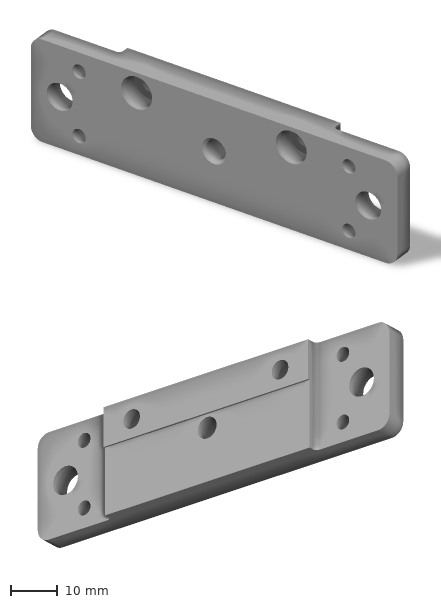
import cadquery as cq

length = 95.0
height = 25.4
plate_thickness = 4.8
corner_radius = 3.0

total_thickness = 7.5
pad_width = 55.3
pad_root_radius = 0.95
land_height = 9.4
relief_depth = 0.5

mount_diameter = 6.65
mount_offset_x = 40.0
pin_diameter = 3.4
pin_offset_x = 35.0
pin_offset_z = 8.0
screw_diameter = 4.5
screw_head_diameter = 8.0
screw_head_depth = 5.0
screw_offset_x = 20.0
screw_offset_z = 7.7
centre_diameter = 5.0
centre_mouth_diameter = 6.3

both_sides = (-1, 1)


def block(width, thickness, block_height):
    """Block centred on X and Z, growing from the front face toward +Y."""
    return cq.Workplane("XY").box(width, thickness, block_height, centered=(True, False, True))


def bore(points, diameter, depth):
    """Round cutters starting at the front face, at the given (x, z) points."""
    return cq.Workplane("XZ").pushPoints(points).circle(diameter / 2).extrude(-depth)


plate = block(length, plate_thickness, height).edges("|Y").fillet(corner_radius)
pad = block(pad_width, total_thickness, height)
body = plate.union(pad)

for side in both_sides:
    root = (side * pad_width / 2, plate_thickness, 0)
    body = body.edges(cq.selectors.NearestToPointSelector(root)).fillet(pad_root_radius)

relief_height = height - land_height
relief = block(pad_width, relief_depth, relief_height).translate(
    (0, total_thickness - relief_depth, -land_height / 2)
)
body = body.cut(relief)

mount_points = [(side * mount_offset_x, 0) for side in both_sides]
pin_points = [(sx * pin_offset_x, sz * pin_offset_z) for sx in both_sides for sz in both_sides]
body = body.cut(bore(mount_points, mount_diameter, total_thickness))
body = body.cut(bore(pin_points, pin_diameter, total_thickness))

screw_points = [(side * screw_offset_x, screw_offset_z) for side in both_sides]
body = body.cut(bore(screw_points, screw_diameter, total_thickness))
body = body.cut(bore(screw_points, screw_head_diameter, screw_head_depth))

countersink_depth = (centre_mouth_diameter - centre_diameter) / 2
body = body.cut(bore([(0, 0)], centre_diameter, total_thickness))
countersink = (
    cq.Workplane("XZ")
    .circle(centre_mouth_diameter / 2)
    .workplane(offset=-countersink_depth)
    .circle(centre_diameter / 2)
    .loft()
)
result = body.cut(countersink)